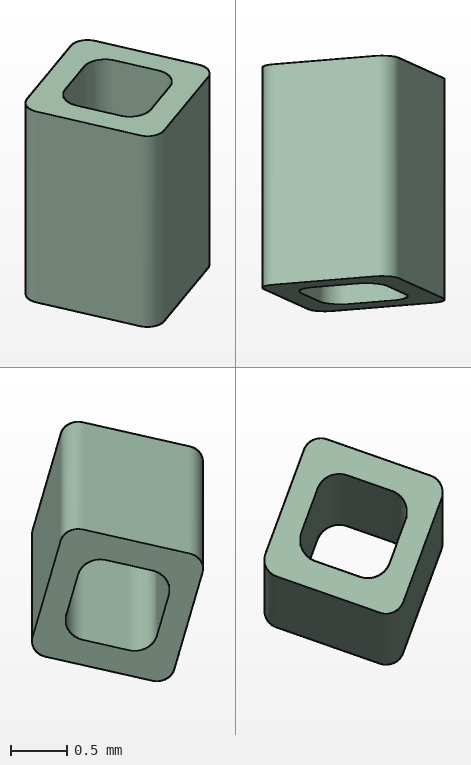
import cadquery as cq

height = 2
outer_x = 1.332
outer_y = 1.305
outer_corner_radius = 0.162
bore_size = 0.835
bore_corner_radius = 0.205


def rounded_prism(size_x, size_y, corner_radius):
    """Full-height block with its four upright edges rounded."""
    block = cq.Workplane("XY").rect(size_x, size_y).extrude(height)
    return block.edges("|Z").fillet(corner_radius)


body = rounded_prism(outer_x, outer_y, outer_corner_radius)
bore = rounded_prism(bore_size, bore_size, bore_corner_radius)

result = body.cut(bore)